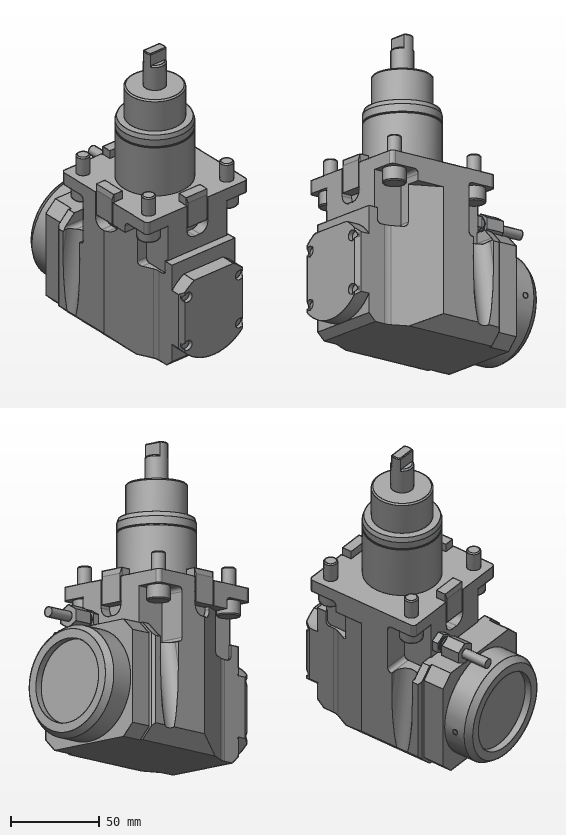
import cadquery as cq

half_width = 37.5
shoulder_top = 68.3
plate_bottom = 84.4
plate_top = 99.0
plate_corner_radius = 2.4
output_axis_z = 33.7

body_left = -41.9
body_right = 42.8
narrow_half_width = 23.2
taper_end_x = 29.3
taper_blend_radius = 9.2
edge_bevel = 8.8
left_bevel = 1.6
right_bevel_x = 4.8
right_bevel_z = 4.4

pocket_inner_x = 18.5
pocket_outer_x = 36.8
pocket_inner_y = 21.8
pocket_bottom = 59.1
pocket_top = 91.1
pocket_corner_radius = 2.7

screw_pitch = 29.0
screw_radius = 4.0
screw_head_radius = 6.8
screw_head_bottom = 82.7
screw_tip = 110.9
screw_bevel = 0.7
driver_groove_radius = 7.3
driver_groove_tilt = 10
driver_groove_start_y = 34.4
driver_groove_start_z = 62.2
driver_groove_length = 73.2

key_width = 15.4
key_depth = 7.0
key_top = 104.1
key_bevel = 0.7
key_nose_height = 3.5
key_slot_bottom = 76.9
key_slot_radius = 5.9
key_angles = (0, 180, 270)

flange_left = -55.6
flange_half_width = 34.0
flange_bevel = 7.1
ring_left = -73.5
ring_radius = 32.5
ring_bevel_length = 4.0
ring_bevel_depth = 2.7
ring_recess_radius = 24.5
ring_recess_depth = 4.4
ring_pin_x = -63.3
ring_pin_radius = 1.6
ring_pin_tip_y = 33.0

cover_right = 52.0
cover_radius = 29.3
cover_top = 59.1
cover_bevel_x = 3.5
cover_bevel_y = 1.8
cover_hole_y = 19.2
cover_hole_z_offset = 16.0
cover_hole_radius = 3.1
cover_hole_depth = 2.7

fitting_y = 15.2
fitting_z = 76.0
tube_left = -73.2
tube_radius = 3.0
nut_left = -56.7
nut_right = -44.7
nut_corner_diameter = 13.7
fitting_neck_radius = 4.4
fitting_ridge_radius = 5.3
fitting_ridge_half_length = 1.0
base_nut_left = -41.5
base_nut_corner_diameter = 12.6

collar_radius = 22.7
collar_top = 138.9
collar_bevel_radial = 1.0
collar_bevel_height = 2.7
collar_groove_z = 131.2
collar_groove_width = 0.7
collar_groove_depth = 0.4
middle_radius = 17.5
middle_top = 159.2
shaft_radius = 6.5
shaft_top = 175.3
spindle_bevel = 1.0
tang_thickness = 6.4
tang_top = 183
tang_bevel = 0.5


def box(x_range, y_range, z_range):
    """Axis-aligned box given by its limits."""
    sizes = [limits[1] - limits[0] for limits in (x_range, y_range, z_range)]
    return cq.Workplane("XY").box(*sizes, centered=False).translate((x_range[0], y_range[0], z_range[0]))


def cylinder_x(radius, x_start, x_end, y, z):
    """Cylinder along X."""
    return cq.Workplane("YZ", origin=(x_start, y, z)).circle(radius).extrude(x_end - x_start)


def both_sides(solid):
    """The solid together with its mirror image across the XZ plane."""
    return solid.union(solid.mirror("XZ"))


def make_body():
    """Lower body and neck: full width on the left, tapering to a narrow right end."""
    outline = [
        (body_left, -half_width), (0, -half_width), (taper_end_x, -narrow_half_width),
        (body_right, -narrow_half_width), (body_right, narrow_half_width),
        (taper_end_x, narrow_half_width), (0, half_width), (body_left, half_width),
    ]
    body = cq.Workplane("XY").polyline(outline).close().extrude(plate_bottom)
    for side in (-1, 1):
        blend_point = (taper_end_x, side * narrow_half_width, plate_bottom / 2)
        body = body.edges(cq.selectors.NearestToPointSelector(blend_point)).fillet(taper_blend_radius)
    body = body.edges("|Z and <X").chamfer(left_bevel)

    whole_width = (-half_width, half_width)
    body = body.cut(box((body_left, -half_width), whole_width, (shoulder_top, plate_bottom)))
    body = body.cut(box((half_width, body_right), whole_width, (shoulder_top, plate_bottom)))

    bottom_bevel = (
        cq.Workplane("YZ", origin=(body_left, 0, 0))
        .polyline([(-half_width, 0), (-half_width + edge_bevel, 0), (-half_width, edge_bevel)])
        .close().extrude(body_right - body_left)
    )
    shoulder_bevel = (
        cq.Workplane("YZ", origin=(body_left, 0, shoulder_top))
        .polyline([(-half_width, 0), (-half_width + edge_bevel, 0), (-half_width, -edge_bevel)])
        .close().extrude(pocket_corner_radius - pocket_outer_x - body_left)
    )
    right_bevel = (
        cq.Workplane("XZ", origin=(body_right, half_width, 0))
        .polyline([(0, 0), (-right_bevel_x, 0), (0, right_bevel_z)])
        .close().extrude(2 * half_width)
    )
    return body.cut(both_sides(bottom_bevel)).cut(both_sides(shoulder_bevel)).cut(right_bevel)


def make_plate():
    return (
        cq.Workplane("XY", origin=(0, 0, plate_bottom))
        .rect(2 * half_width, 2 * half_width).extrude(plate_top - plate_bottom)
        .edges("|Z").fillet(plate_corner_radius)
    )


def make_corner_pockets():
    """Screw pockets at the four corners, open towards the sides."""
    pocket = box(
        (pocket_inner_x, pocket_outer_x), (-half_width, -pocket_inner_y), (pocket_bottom, pocket_top)
    ).edges("|Y").fillet(pocket_corner_radius)
    open_end = box(
        (pocket_outer_x - pocket_corner_radius, half_width),
        (-half_width, -pocket_inner_y), (shoulder_top, pocket_top),
    )
    right_pockets = both_sides(pocket.union(open_end))
    return right_pockets.union(right_pockets.mirror("YZ"))


def make_driver_grooves():
    """Tilted grooves, round at the back, that give access to the two left screw heads from below."""
    round_back = cq.Workplane("XY").circle(driver_groove_radius).extrude(-driver_groove_length)
    open_side = box(
        (-driver_groove_radius, driver_groove_radius), (-driver_groove_radius, 0), (-driver_groove_length, 0)
    )
    groove = (
        round_back.union(open_side)
        .rotate((0, 0, 0), (1, 0, 0), -driver_groove_tilt)
        .translate((-screw_pitch, -driver_groove_start_y, driver_groove_start_z))
    )
    return both_sides(groove)


def make_screw():
    """Mounting screw on the Z axis, head down."""
    head = (
        cq.Workplane("XY", origin=(0, 0, screw_head_bottom))
        .circle(screw_head_radius).extrude(pocket_top - screw_head_bottom)
        .faces("<Z").chamfer(screw_bevel)
    )
    shank = (
        cq.Workplane("XY", origin=(0, 0, pocket_top))
        .circle(screw_radius).extrude(screw_tip - pocket_top)
        .faces(">Z").chamfer(screw_bevel)
    )
    return head.union(shank)


def make_key_slot():
    """Slot with rounded lower corners in the +X side."""
    return box(
        (half_width - key_depth, body_right), (-key_width / 2, key_width / 2), (key_slot_bottom, plate_top)
    ).edges("|X and <Z").fillet(key_slot_radius)


def make_key():
    """Key seated in the +X slot, with a sloped nose along its upper outer edge."""
    nose_start = half_width - key_bevel
    profile = [
        (half_width - key_depth, plate_bottom), (half_width, plate_bottom),
        (half_width, key_top - key_nose_height), (nose_start, key_top),
        (half_width - key_depth, key_top),
    ]
    key = (
        cq.Workplane("XZ", origin=(0, key_width / 2, 0))
        .polyline(profile).close().extrude(key_width)
    )
    return key.edges("|Z and >X").chamfer(key_bevel)


def make_flange():
    length = body_left - flange_left
    return (
        cq.Workplane("YZ", origin=(flange_left, 0, shoulder_top / 2))
        .rect(2 * flange_half_width, shoulder_top).extrude(length)
        .edges("|X").chamfer(flange_bevel)
    )


def make_ring_nut():
    profile = [
        (ring_left, 0), (ring_left, ring_radius - ring_bevel_depth),
        (ring_left + ring_bevel_length, ring_radius), (flange_left, ring_radius), (flange_left, 0),
    ]
    ring = (
        cq.Workplane("XY").polyline(profile).close()
        .revolve(360, (0, 0, 0), (1, 0, 0)).translate((0, 0, output_axis_z))
    )
    recess = cylinder_x(ring_recess_radius, ring_left, ring_left + ring_recess_depth, 0, output_axis_z)
    pin = (
        cq.Workplane("XZ", origin=(ring_pin_x, ring_pin_tip_y, output_axis_z))
        .circle(ring_pin_radius).extrude(ring_pin_tip_y - ring_recess_radius)
    )
    return ring.cut(recess).union(pin)


def make_cover():
    """Round cover trimmed flat at its sides and top with four screw recesses."""
    flat_sides = (
        box((body_right, cover_right), (-narrow_half_width, narrow_half_width),
            (output_axis_z - cover_radius, cover_top))
        .faces(">X").edges("|Z").chamfer(cover_bevel_y, cover_bevel_x)
    )
    cover = cylinder_x(cover_radius, body_right, cover_right, 0, output_axis_z).intersect(flat_sides)
    for side in (-1, 1):
        for level in (-1, 1):
            cover = cover.cut(cylinder_x(
                cover_hole_radius, cover_right - cover_hole_depth, cover_right,
                side * cover_hole_y, output_axis_z + level * cover_hole_z_offset,
            ))
    return cover


def make_hex_nut(x_start, x_end, corner_diameter):
    """Hexagon along X with corners up and down, on the coolant fitting axis."""
    return (
        cq.Workplane("YZ", origin=(x_start, fitting_y, fitting_z))
        .transformed(rotate=(0, 0, 90)).polygon(6, corner_diameter).extrude(x_end - x_start)
    )


def make_coolant_fitting():
    ridge_x = (nut_right + base_nut_left) / 2
    neck_profile = [
        (nut_right, 0), (nut_right, fitting_neck_radius),
        (ridge_x - fitting_ridge_half_length, fitting_neck_radius), (ridge_x, fitting_ridge_radius),
        (ridge_x + fitting_ridge_half_length, fitting_neck_radius),
        (base_nut_left, fitting_neck_radius), (base_nut_left, 0),
    ]
    neck = (
        cq.Workplane("XY").polyline(neck_profile).close()
        .revolve(360, (0, 0, 0), (1, 0, 0)).translate((0, fitting_y, fitting_z))
    )
    return (
        cylinder_x(tube_radius, tube_left, nut_left, fitting_y, fitting_z)
        .union(make_hex_nut(nut_left, nut_right, nut_corner_diameter))
        .union(neck)
        .union(make_hex_nut(base_nut_left, -half_width, base_nut_corner_diameter))
    )


def make_spindle():
    """Stepped spindle with a flat driving tang."""
    groove_radius = collar_radius - collar_groove_depth
    groove_low = collar_groove_z - collar_groove_width / 2
    groove_high = collar_groove_z + collar_groove_width / 2
    profile = [
        (0, plate_top), (collar_radius, plate_top),
        (collar_radius, groove_low), (groove_radius, groove_low),
        (groove_radius, groove_high), (collar_radius, groove_high),
        (collar_radius, collar_top - collar_bevel_height),
        (collar_radius - collar_bevel_radial, collar_top),
        (middle_radius, collar_top), (middle_radius, middle_top - spindle_bevel),
        (middle_radius - spindle_bevel, middle_top),
        (shaft_radius, middle_top), (shaft_radius, shaft_top - spindle_bevel),
        (shaft_radius - spindle_bevel, shaft_top), (0, shaft_top),
    ]
    steps = cq.Workplane("XZ").polyline(profile).close().revolve(360, (0, 0, 0), (0, 1, 0))
    tang_start = shaft_top - spindle_bevel
    tang_slab = box(
        (-tang_thickness / 2, tang_thickness / 2), (-shaft_radius, shaft_radius), (tang_start, tang_top)
    )
    tang = (
        cq.Workplane("XY", origin=(0, 0, tang_start)).circle(shaft_radius).extrude(tang_top - tang_start)
        .intersect(tang_slab).faces(">Z").chamfer(tang_bevel)
    )
    return steps.union(tang)


result = make_body().union(make_plate()).cut(make_corner_pockets()).cut(make_driver_grooves())
for angle in key_angles:
    turned_slot = make_key_slot().rotate((0, 0, 0), (0, 0, 1), angle)
    turned_key = make_key().rotate((0, 0, 0), (0, 0, 1), angle)
    result = result.cut(turned_slot).union(turned_key)
for x_side in (-1, 1):
    for y_side in (-1, 1):
        result = result.union(make_screw().translate((x_side * screw_pitch, y_side * screw_pitch, 0)))
for component in (make_flange(), make_ring_nut(), make_cover(), make_coolant_fitting(), make_spindle()):
    result = result.union(component)